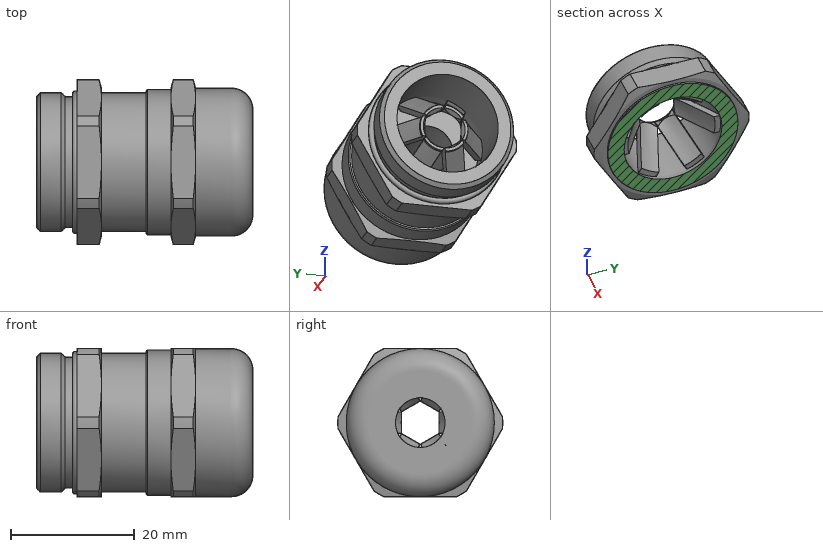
import cadquery as cq
import math

LENGTH = 35.0
THREAD_DIA = 22.5
GROOVE_DIA = 21.2
COLLAR_DIA = 23.52
CAP_DIA = 23.98
THREAD_START_CHAMFER = (THREAD_DIA - GROOVE_DIA) / 2
THREAD_END_X = 4.0
COLLAR_X = 17.7
COLLAR_CHAMFER = 0.2
CAP_ROUND = 3.5

RING_DIA = 23.1
RING_SECTION_RADIUS = (RING_DIA - GROOVE_DIA) / 4
RING_START_X = 5.8

HEX_SIDES = 6
ACROSS_FLATS = 24.0
CORNER_DIA = 26.7
HEX_CHAMFER = 0.4
FRONT_HEX_X = 6.55
FRONT_HEX_WIDTH = 3.95
REAR_HEX_X = 21.75
REAR_HEX_WIDTH = 4.0

BORE_DIA = 16.98
BORE_TAPER_X = 10.05
BORE_END_DIA = 16.52
BORE_FLOOR_X = 11.55
INNER_HOLE_DIA = 8.0

FINGER_COUNT = 6
FINGER_WIDTH = 3.45
FINGER_TIP_X = 2.1
FINGER_TIP_LENGTH = 0.5
CONE_SLOPE = 0.63

HEX_HOLE_FLATS = 6.05
MOUTH_DIA = 7.0
MOUTH_DEPTH = 0.85
REAR_FLARE_X = FINGER_TIP_X + 0.8


def cylinder(x_start, length, diameter):
    return cq.Workplane("YZ", origin=(x_start, 0, 0)).circle(diameter / 2).extrude(length)


def hex_prism(x_start, length, across_flats):
    across_corners = across_flats / math.cos(math.pi / HEX_SIDES)
    return cq.Workplane("YZ", origin=(x_start, 0, 0)).polygon(HEX_SIDES, across_corners).extrude(length)


def turned(points):
    """Solid of revolution about the X axis from (x, radius) points."""
    return cq.Workplane("XY").polyline(points).close().revolve(360, (0, 0, 0), (1, 0, 0))


def turned_cone(x_start, start_r, x_end, end_r):
    return turned([(x_start, 0), (x_start, start_r), (x_end, end_r), (x_end, 0)])


def body():
    thread_r = THREAD_DIA / 2
    groove_r = GROOVE_DIA / 2
    collar_r = COLLAR_DIA / 2
    cap_r = CAP_DIA / 2
    profile = (
        cq.Workplane("XY")
        .moveTo(0, 0)
        .lineTo(0, groove_r)
        .lineTo(THREAD_START_CHAMFER, thread_r)
        .lineTo(THREAD_END_X, thread_r)
        .lineTo(THREAD_END_X + thread_r - groove_r, groove_r)
        .lineTo(FRONT_HEX_X, groove_r)
        .lineTo(FRONT_HEX_X, thread_r)
        .lineTo(COLLAR_X, thread_r)
        .lineTo(COLLAR_X, collar_r - COLLAR_CHAMFER)
        .lineTo(COLLAR_X + COLLAR_CHAMFER, collar_r)
        .lineTo(REAR_HEX_X, collar_r)
        .lineTo(REAR_HEX_X, cap_r)
        .lineTo(LENGTH - CAP_ROUND, cap_r)
        .radiusArc((LENGTH, cap_r - CAP_ROUND), CAP_ROUND)
        .lineTo(LENGTH, 0)
        .close()
    )
    return profile.revolve(360, (0, 0, 0), (1, 0, 0))


def sealing_ring():
    center_r = RING_DIA / 2 - RING_SECTION_RADIUS
    center_x = RING_START_X + RING_SECTION_RADIUS
    section = cq.Workplane("XY").center(center_x, center_r).circle(RING_SECTION_RADIUS)
    return section.revolve(360, (-center_x, -center_r, 0), (0.35 - center_x, -center_r, 0))


def wrench_hex(x_start, width, chamfer_start):
    """Hexagon with its +X corners chamfered, and its -X corners too if chamfer_start is true."""
    x_end = x_start + width
    face_r = CAP_DIA / 2
    corner_r = CORNER_DIA / 2
    start_r = face_r if chamfer_start else corner_r
    limit = turned([
        (x_start, 0),
        (x_start, start_r),
        (x_start + HEX_CHAMFER, corner_r),
        (x_end - HEX_CHAMFER, corner_r),
        (x_end, face_r),
        (x_end, 0),
    ])
    return hex_prism(x_start, width, ACROSS_FLATS).intersect(limit)


def finger_bars():
    """Flat bars across the axis; each one spans two opposite fingers."""
    bar = cq.Workplane("XY").box(BORE_TAPER_X, BORE_DIA, FINGER_WIDTH, centered=(False, True, True))
    bars = bar
    for i in range(1, FINGER_COUNT // 2):
        bars = bars.union(bar.rotate((0, 0, 0), (1, 0, 0), i * 360 / FINGER_COUNT))
    return bars


def fingers():
    """Conical shell cut into six fingers that meet around a flared hexagonal opening."""
    tip_r = INNER_HOLE_DIA / 2
    bore_r = BORE_DIA / 2
    hex_r = HEX_HOLE_FLATS / 2
    cone_x = FINGER_TIP_X + FINGER_TIP_LENGTH
    root_x = cone_x + (bore_r - tip_r) / CONE_SLOPE
    outside = turned([
        (FINGER_TIP_X, 0),
        (FINGER_TIP_X, tip_r),
        (cone_x, tip_r),
        (root_x, bore_r),
        (BORE_TAPER_X, bore_r),
        (BORE_TAPER_X, 0),
    ])
    mouth = turned_cone(FINGER_TIP_X, MOUTH_DIA / 2, FINGER_TIP_X + MOUTH_DEPTH, hex_r)
    hexagon = hex_prism(FINGER_TIP_X, BORE_TAPER_X - FINGER_TIP_X, HEX_HOLE_FLATS)
    hexagon = hexagon.rotate((0, 0, 0), (1, 0, 0), 180 / HEX_SIDES)
    rear_r = hex_r + (BORE_TAPER_X - REAR_FLARE_X) * CONE_SLOPE
    rear_flare = turned_cone(REAR_FLARE_X, hex_r, BORE_TAPER_X, rear_r)
    return outside.intersect(finger_bars()).cut(mouth).cut(hexagon).cut(rear_flare)


result = (
    body()
    .union(sealing_ring())
    .union(wrench_hex(FRONT_HEX_X, FRONT_HEX_WIDTH, False))
    .union(wrench_hex(REAR_HEX_X, REAR_HEX_WIDTH, True))
    .cut(cylinder(0, BORE_TAPER_X, BORE_DIA))
    .cut(turned_cone(BORE_TAPER_X, BORE_DIA / 2, BORE_FLOOR_X, BORE_END_DIA / 2))
    .cut(cylinder(0, LENGTH, INNER_HOLE_DIA))
    .union(fingers())
)